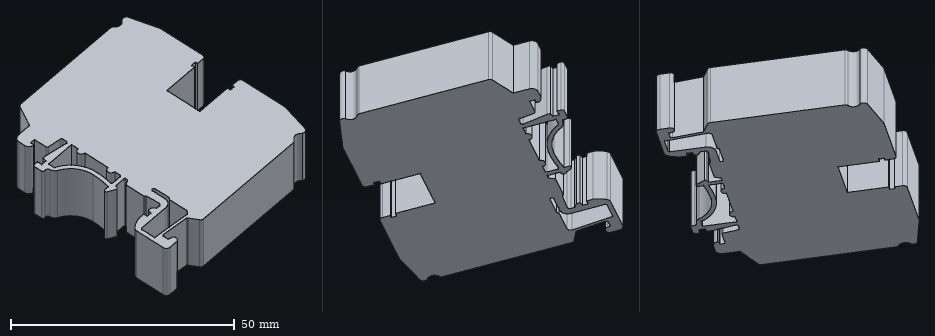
import cadquery as cq
import math

width = 54.05
height = 50.5
thickness = 15.5
half_width = width / 2

floor_y = 10.55
shoulder_y = 12.05
slope_rise = 0.55
slope_end_x = half_width - (shoulder_y - floor_y) / slope_rise
shoulder_radius = 0.9
side_top_y = 43.45
roof_half = 18.4

notch_mouth_x = 26.65
notch_deep_x = 25.9
notch_bottom_y = 44.05
notch_top_y = 46.85
notch_middle_y = (notch_bottom_y + notch_top_y) / 2

channel_half = 4.85
channel_floor_y = 37.0
lip_half = 5.1
lip_radius = 0.85
groove_half = 5.75
groove_bottom_y = 46.45
groove_top_y = 47.75

foot_left_x = -21.2
foot_bottom_y = 3.45
foot_corner_radius = 1.5
hook_start_x = -17.95
hook_tip_x = -16.55
hook_top_y = 5.0
hook_throat_x = -17.5
foot_notch_y = 6.25
foot_right_x = -13.7
foot_right_radius = 0.5
relief_top_x = -13.25
relief_radius = 0.45

stem_right_x = -10.2
stem_left_x = -11.35
stem_barb_x = -12.35
barb_top_y = 4.0
barb_bottom_y = 3.25
neck_top_y = 3.0
arch_foot_x = -8.9
toe_web_radius = 0.65
toe_left_x = -12.6
toe_right_x = arch_foot_x - toe_web_radius
toe_top_y = 1.55
toe_left_radius = 0.6
toe_right_radius = 0.45
pocket_bottom_y = 2.65

arch_thickness = 1.1
arch_peak_x = -0.55
arch_peak_y = 6.7
steep_radius = 7.65
shallow_radius = 21.6
arch_rise_x = -7.4
finger_left_x = 4.45
finger_right_x = 5.5
finger_root_radius = 0.3
finger_nose_x = 6.45
finger_nose_y = 6.8

bead_radius = 1.0
bead_positions = (-7.3, 1.5)

ledge_left_x = 6.3
ledge_y = 9.15
ledge_flat_start_x = 7.1
ledge_step_x = 12.35
web_left_x = 16.9
web_right_x = 18.35
web_top_y = 9.7
web_corner_radius = 0.65
tooth_x = 15.95
upper_tooth_root_y = 8.15
upper_tooth_top_y = 7.35
upper_tooth_bottom_y = 6.5
tooth_gap_top_y = 6.25
tooth_gap_bottom_y = 4.95
lower_tooth_bottom_y = 3.4
heel_end_x = 18.0
outer_corner_radius = 1.1
arm_bottom_x = 23.35
arm_top_x = 24.0
arm_top_y = 10.4
hook_floor_y = 2.65
hook_floor_radius = 0.55

slot_left_x = 12.35
slot_top_y = 12.5
slot_bottom_y = 11.6
slot_radius = (slot_top_y - slot_bottom_y) / 2
bend_radius = 1.95
window_top_y = 12.05
window_bottom_y = 1.1
window_corner_x = 22.5
window_right_x = 22.5
window_chamfer = 0.25


def plate(profile):
    """Extrude a closed profile over the full thickness."""
    return profile.close().extrude(thickness)


def slope_y(x):
    """Height of the lower slopes at a given x."""
    return shoulder_y - slope_rise * (half_width - abs(x))


def round_corner(body, x, y, radius):
    """Fillet the upright edge nearest to the point (x, y)."""
    corner = cq.selectors.NearestToPointSelector((x, y, thickness / 2))
    return body.edges(corner).fillet(radius)


def housing():
    half = plate(
        cq.Workplane("XY")
        .moveTo(0, floor_y)
        .lineTo(slope_end_x, floor_y)
        .lineTo(half_width, shoulder_y)
        .lineTo(half_width, side_top_y)
        .threePointArc((26.9, 43.75), (notch_mouth_x, notch_bottom_y))
        .threePointArc((notch_deep_x, notch_middle_y), (notch_mouth_x, notch_top_y))
        .threePointArc((26.8, 47.75), (26.25, 48.4))
        .lineTo(roof_half, height)
        .lineTo(lip_half, height)
        .lineTo(lip_half, groove_top_y)
        .lineTo(groove_half, groove_top_y)
        .lineTo(groove_half, groove_bottom_y)
        .lineTo(channel_half, groove_bottom_y)
        .lineTo(channel_half, channel_floor_y)
        .lineTo(0, channel_floor_y)
    )
    half = round_corner(half, half_width, shoulder_y, shoulder_radius)
    half = round_corner(half, lip_half, height, lip_radius)
    return half.union(half.mirror("YZ"))


def left_foot():
    foot = plate(
        cq.Workplane("XY")
        .moveTo(-slope_end_x, floor_y)
        .lineTo(foot_left_x, slope_y(foot_left_x))
        .lineTo(foot_left_x, foot_bottom_y + foot_corner_radius)
        .radiusArc((foot_left_x + foot_corner_radius, foot_bottom_y), -foot_corner_radius)
        .lineTo(hook_start_x, foot_bottom_y)
        .threePointArc((-16.95, 3.9), (hook_tip_x, 4.75))
        .lineTo(-16.75, hook_top_y)
        .lineTo(hook_throat_x, hook_top_y)
        .lineTo(hook_throat_x, foot_notch_y)
        .lineTo(foot_right_x, foot_notch_y)
        .lineTo(relief_top_x, floor_y - relief_radius)
        .radiusArc((relief_top_x + relief_radius, floor_y), relief_radius)
    )
    return round_corner(foot, foot_right_x, foot_notch_y, foot_right_radius)


def clip_stem():
    return plate(
        cq.Workplane("XY")
        .moveTo(stem_right_x, floor_y)
        .lineTo(stem_left_x - relief_radius, floor_y)
        .radiusArc((stem_left_x, floor_y - relief_radius), relief_radius)
        .lineTo(stem_barb_x, barb_top_y)
        .lineTo(stem_barb_x, barb_bottom_y)
        .lineTo(stem_left_x, neck_top_y)
        .lineTo(stem_left_x, toe_top_y)
        .lineTo(toe_left_x, toe_top_y)
        .lineTo(toe_left_x, toe_left_radius)
        .radiusArc((toe_left_x + toe_left_radius, 0), -toe_left_radius)
        .lineTo(toe_right_x - toe_right_radius, 0)
        .radiusArc((toe_right_x, toe_right_radius), -toe_right_radius)
        .lineTo(toe_right_x, toe_top_y - toe_web_radius)
        .radiusArc((arch_foot_x, toe_top_y), toe_web_radius)
        .lineTo(arch_foot_x, pocket_bottom_y)
        .lineTo(stem_right_x, pocket_bottom_y)
    )


def clip_arch():
    steep_center_y = arch_peak_y - steep_radius
    shallow_center_y = arch_peak_y - shallow_radius

    def steep_y(x, offset):
        return steep_center_y + math.sqrt((steep_radius + offset) ** 2 - (x - arch_peak_x) ** 2)

    def shallow_y(x, offset):
        return shallow_center_y + math.sqrt((shallow_radius + offset) ** 2 - (x - arch_peak_x) ** 2)

    outer_steep = steep_radius + arch_thickness
    pocket_drop = pocket_bottom_y - steep_center_y
    pocket_corner_x = arch_peak_x - math.sqrt(outer_steep ** 2 - pocket_drop ** 2)
    finger_middle_x = (finger_left_x + finger_right_x) / 2

    return plate(
        cq.Workplane("XY")
        .moveTo(arch_foot_x, toe_top_y)
        .threePointArc((-8.05, 1.85), (arch_rise_x, steep_y(arch_rise_x, 0)))
        .radiusArc((arch_peak_x, arch_peak_y), steep_radius)
        .radiusArc((finger_middle_x, shallow_y(finger_middle_x, 0)), shallow_radius)
        .lineTo(finger_middle_x, shallow_y(finger_middle_x, arch_thickness))
        .radiusArc((arch_peak_x, arch_peak_y + arch_thickness), -(shallow_radius + arch_thickness))
        .radiusArc((pocket_corner_x, pocket_bottom_y), -outer_steep)
        .lineTo(arch_foot_x, pocket_bottom_y)
    )


def clip_finger():
    return plate(
        cq.Workplane("XY")
        .moveTo(finger_left_x, floor_y)
        .lineTo(finger_left_x, 4.85)
        .threePointArc((4.75, 4.55), (5.25, 4.75))
        .lineTo(finger_nose_x, finger_nose_y)
        .lineTo(6.1, 7.25)
        .lineTo(finger_right_x, 7.5)
        .lineTo(finger_right_x, floor_y)
    )


def beads():
    centers = [(x, floor_y) for x in bead_positions]
    return cq.Workplane("XY").pushPoints(centers).circle(bead_radius).extrude(thickness)


def right_foot():
    return plate(
        cq.Workplane("XY")
        .moveTo(ledge_left_x, floor_y)
        .lineTo(ledge_flat_start_x, ledge_y)
        .lineTo(ledge_step_x, ledge_y)
        .lineTo(12.65, 9.5)
        .lineTo(web_left_x - web_corner_radius, web_top_y)
        .radiusArc((web_left_x, web_top_y - web_corner_radius), web_corner_radius)
        .lineTo(web_left_x, upper_tooth_root_y)
        .lineTo(tooth_x, upper_tooth_top_y)
        .lineTo(tooth_x, upper_tooth_bottom_y)
        .lineTo(web_left_x, tooth_gap_top_y)
        .lineTo(web_left_x, tooth_gap_bottom_y)
        .lineTo(tooth_x, tooth_gap_bottom_y)
        .lineTo(tooth_x, lower_tooth_bottom_y)
        .threePointArc((16.3, 1.95), (17.1, 0.55))
        .threePointArc((17.45, 0.15), (heel_end_x, 0))
        .lineTo(half_width - outer_corner_radius, 0)
        .radiusArc((half_width, outer_corner_radius), -outer_corner_radius)
        .lineTo(half_width, 3.3)
        .threePointArc((26.05, 4.15), (25.3, 3.4))
        .lineTo(25.05, hook_floor_y)
        .lineTo(arm_bottom_x + hook_floor_radius, hook_floor_y)
        .radiusArc((arm_bottom_x, hook_floor_y + hook_floor_radius), hook_floor_radius)
        .lineTo(arm_top_x, arm_top_y)
        .lineTo(slope_end_x, floor_y)
    )


def window():
    return plate(
        cq.Workplane("XY")
        .moveTo(slot_left_x + slot_radius, slot_bottom_y)
        .radiusArc((slot_left_x + slot_radius, slot_top_y), slot_radius)
        .lineTo(17.0, slot_top_y)
        .lineTo(17.35, window_top_y)
        .lineTo(window_corner_x, window_top_y)
        .threePointArc((23.05, 11.7), (23.3, 11.1))
        .lineTo(window_right_x, window_bottom_y)
        .lineTo(web_right_x + window_chamfer, window_bottom_y)
        .lineTo(web_right_x, window_bottom_y + window_chamfer)
        .lineTo(web_right_x, slot_bottom_y - bend_radius)
        .radiusArc((web_right_x - bend_radius, slot_bottom_y), -bend_radius)
    )


result = housing()
for member in (left_foot(), clip_stem(), clip_arch(), clip_finger(), beads(), right_foot()):
    result = result.union(member)
result = result.cut(window())
for root_y in (floor_y, arch_peak_y + arch_thickness):
    result = round_corner(result, finger_left_x, root_y, finger_root_radius)